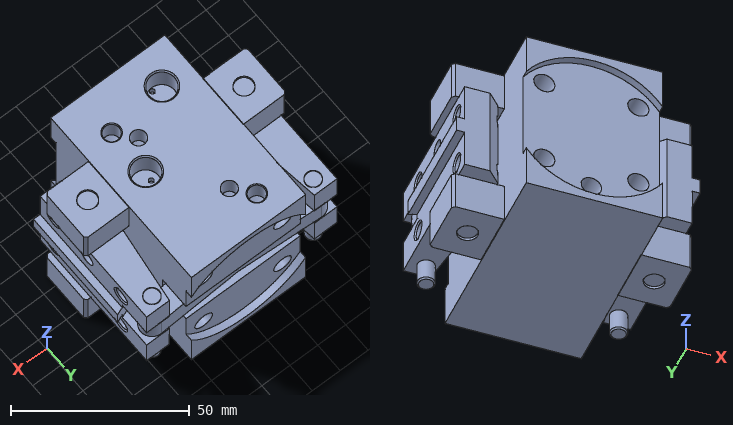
import cadquery as cq
import math


BODY_WIDTH = 40.9
BODY_DEPTH = 63.0
BODY_HEIGHT = 55.0
FRONT_Y = -BODY_DEPTH / 2
BACK_Y = BODY_DEPTH / 2
TOP_Z = BODY_HEIGHT / 2

RECESS_RADIUS = 25.0
RECESS_DEPTH = 2.4

MOUNT_HOLE_DIAMETER = 6.3
MOUNT_HOLE_OFFSET = 14.1
FRONT_PORT_DIAMETER = 6.05
FRONT_PORT_Z = -20.1
FRONT_PORT_DEPTH = 8.75

DRILL_POINT_ANGLE = 118.0
TAPPED_POINTS = [(-10.0, 22.7), (10.0, -17.2)]
TAPPED_DIAMETER = 5.4
TAPPED_CHAMFER = 0.3
TAPPED_DEPTH = 7.3
DOWEL_POINTS = [(-5.0, 16.7), (5.1, -11.3)]
DOWEL_DIAMETER = 5.05
DOWEL_DEPTH = 7.3
AIR_PORT_POINTS = [(10.0, -2.0), (-9.9, -19.65)]
AIR_PORT_DIAMETER = 9.05
AIR_PORT_CHAMFER = 0.45
AIR_PORT_DEPTH = 8.75
AIR_DUCT_POINTS = [(8.0, -2.0), (-9.35, -23.2)]
AIR_DUCT_DIAMETER = 1.6
AIR_DUCT_DEPTH = 2.2

JAW_HALF_HEIGHT = 14.6
JAW_OUTER_X = -34.1
JAW_INNER_X = -22.55
JAW_BACK_INNER_X = -25.9
JAW_FRONT_INNER_X = -26.5
JAW_BACK_Y = 28.55
JAW_TAPER_END_Y = 3.65
JAW_BEVEL_START_Y = -15.05
JAW_FRONT_Y = -19.1
RIB_OUTER_X = -36.5
RIB_HEIGHT = 5.05
RIB_BACK_Y = 18.55
JAW_TAPPED_DIAMETER = 5.1
JAW_TAPPED_CHAMFER = 0.45
JAW_TAPPED_YS = [17.0, -13.1]
JAW_HOLE_Z = 9.05
JAW_LOCATING_DIAMETER = 5.1
JAW_LOCATING_Y = 2.0

LUG_OUTER_X = -36.0
LUG_TOP_Z = 27.0
LUG_LENGTH = 18.1
LUG_Y = -5.5
LUG_CHAMFER = 0.9
PIVOT_X = -27.95
PIVOT_DIAMETER = 6.1
PIVOT_RECESS_DEPTH = 0.9

PIN_X = -28.8
PIN_Y = 24.4
PIN_DIAMETER = 5.2
PIN_TOP_Z = 14.15
PIN_BOTTOM_Z = -21.45
PIN_CHAMFER = 0.45
YOKE_THICKNESS = 7.75
YOKE_END_RADIUS = 4.0
YOKE_ARM_ANGLE = 3.0
SLOT_HEIGHT = 8.2
HOUSING_SLOT_FLOOR_Y = 18.7
JAW_SLOT_WALL_ANGLE = 20.0

SIDES = ["left", "right"]


def box(x_min, x_max, y_min, y_max, z_min, z_max):
    size = (x_max - x_min, y_max - y_min, z_max - z_min)
    return cq.Workplane("XY").box(*size, centered=False).translate((x_min, y_min, z_min))


def cylinder_along_y(x, z, diameter, y_min, y_max):
    """Cylinder parallel to Y between two Y positions."""
    disc = cq.Workplane("XZ", origin=(x, y_min, z)).circle(diameter / 2)
    return disc.extrude(y_min - y_max)


def cylinder_along_z(x, y, diameter, z_min, z_max):
    """Cylinder parallel to Z between two Z positions."""
    return cq.Workplane("XY", origin=(x, y, z_min)).circle(diameter / 2).extrude(z_max - z_min)


def hole_tool(diameter, depth, chamfer=0.0, point_angle=180.0):
    """Hole going down from Z = 0; a point angle of 180 degrees leaves a flat bottom."""
    radius = diameter / 2
    point_depth = radius / math.tan(math.radians(point_angle / 2))
    profile = cq.Workplane("XZ").moveTo(0, 0).lineTo(radius + chamfer, 0)
    if chamfer > 0:
        profile = profile.lineTo(radius, -chamfer)
    profile = profile.lineTo(radius, -depth).lineTo(0, -depth - point_depth).close()
    return profile.revolve(360, (0, 0, 0), (0, 1, 0))


def on_side(left_part, side):
    """The left-hand part itself, or its mirror image for the right-hand side."""
    return left_part if side == "left" else left_part.mirror("YZ")


def mounting_holes():
    holes = cq.Workplane("XY")
    for x in (-MOUNT_HOLE_OFFSET, MOUNT_HOLE_OFFSET):
        for z in (-MOUNT_HOLE_OFFSET, MOUNT_HOLE_OFFSET):
            holes = holes.add(cylinder_along_y(x, z, MOUNT_HOLE_DIAMETER, FRONT_Y, BACK_Y))
    return holes.combine()


def front_port():
    port = hole_tool(FRONT_PORT_DIAMETER, FRONT_PORT_DEPTH, point_angle=DRILL_POINT_ANGLE)
    port = port.rotate((0, 0, 0), (1, 0, 0), 90)
    return port.translate((0, FRONT_Y + RECESS_DEPTH, FRONT_PORT_Z))


def cut_top_holes(body):
    tapped = hole_tool(TAPPED_DIAMETER, TAPPED_DEPTH, TAPPED_CHAMFER, DRILL_POINT_ANGLE)
    dowel = hole_tool(DOWEL_DIAMETER, DOWEL_DEPTH, point_angle=DRILL_POINT_ANGLE)
    air_port = hole_tool(AIR_PORT_DIAMETER, AIR_PORT_DEPTH, AIR_PORT_CHAMFER)
    air_duct_bottom = AIR_PORT_DEPTH + AIR_DUCT_DEPTH
    air_duct = hole_tool(AIR_DUCT_DIAMETER, air_duct_bottom, point_angle=DRILL_POINT_ANGLE)
    hole_groups = [
        (tapped, TAPPED_POINTS),
        (dowel, DOWEL_POINTS),
        (air_port, AIR_PORT_POINTS),
        (air_duct, AIR_DUCT_POINTS),
    ]
    for tool, points in hole_groups:
        for x, y in points:
            body = body.cut(tool.translate((x, y, TOP_Z)))
    return body


def upper_left_lug():
    lug = box(
        LUG_OUTER_X, -BODY_WIDTH / 2,
        LUG_Y - LUG_LENGTH / 2, LUG_Y + LUG_LENGTH / 2,
        JAW_HALF_HEIGHT, LUG_TOP_Z,
    )
    lug = lug.edges("|Z and <X").chamfer(LUG_CHAMFER)
    recess = hole_tool(PIVOT_DIAMETER, PIVOT_RECESS_DEPTH)
    return lug.cut(recess.translate((PIVOT_X, LUG_Y, LUG_TOP_Z)))


def make_housing():
    half_width = BODY_WIDTH / 2
    body = box(-half_width, half_width, FRONT_Y, BACK_Y, -TOP_Z, TOP_Z)
    body = body.cut(cylinder_along_y(0, 0, 2 * RECESS_RADIUS, FRONT_Y, FRONT_Y + RECESS_DEPTH))
    body = body.cut(cylinder_along_y(0, 0, 2 * RECESS_RADIUS, BACK_Y - RECESS_DEPTH, BACK_Y))
    body = body.cut(box(
        -half_width, half_width,
        HOUSING_SLOT_FLOOR_Y, BACK_Y,
        -SLOT_HEIGHT / 2, SLOT_HEIGHT / 2,
    ))
    body = cut_top_holes(body)
    body = body.cut(mounting_holes()).cut(front_port())
    for side in SIDES:
        upper_lug = on_side(upper_left_lug(), side)
        body = body.union(upper_lug).union(upper_lug.mirror("XY"))
    return body


def jaw_slot():
    """Slot for the yoke arm, open at the back, whose end wall slants forward going inward."""
    wall_run = JAW_INNER_X - RIB_OUTER_X
    wall_inner_y = RIB_BACK_Y - wall_run * math.tan(math.radians(JAW_SLOT_WALL_ANGLE))
    outline = [
        (RIB_OUTER_X, RIB_BACK_Y),
        (JAW_INNER_X, wall_inner_y),
        (JAW_INNER_X, JAW_BACK_Y),
        (RIB_OUTER_X, JAW_BACK_Y),
    ]
    return cq.Workplane("XY").polyline(outline).close().extrude(SLOT_HEIGHT / 2, both=True)


def jaw_side_hole(diameter, chamfer, y, z):
    """Hole along X through the jaw from its outer face."""
    tool = hole_tool(diameter, JAW_INNER_X - JAW_OUTER_X, chamfer)
    return tool.rotate((0, 0, 0), (0, 1, 0), -90).translate((JAW_OUTER_X, y, z))


def make_jaw(side):
    outline = [
        (JAW_OUTER_X, JAW_BACK_Y),
        (JAW_BACK_INNER_X, JAW_BACK_Y),
        (JAW_INNER_X, JAW_TAPER_END_Y),
        (JAW_INNER_X, JAW_BEVEL_START_Y),
        (JAW_FRONT_INNER_X, JAW_FRONT_Y),
        (JAW_OUTER_X, JAW_FRONT_Y),
    ]
    jaw = cq.Workplane("XY").polyline(outline).close().extrude(JAW_HALF_HEIGHT, both=True)
    rib = box(
        RIB_OUTER_X, JAW_OUTER_X, JAW_FRONT_Y, RIB_BACK_Y, -RIB_HEIGHT / 2, RIB_HEIGHT / 2
    )
    jaw = jaw.union(rib).cut(jaw_slot())
    for y in JAW_TAPPED_YS:
        for z in (-JAW_HOLE_Z, JAW_HOLE_Z):
            jaw = jaw.cut(jaw_side_hole(JAW_TAPPED_DIAMETER, JAW_TAPPED_CHAMFER, y, z))
    jaw = jaw.cut(jaw_side_hole(JAW_LOCATING_DIAMETER, 0.0, JAW_LOCATING_Y, JAW_HOLE_Z))
    jaw = jaw.cut(cylinder_along_z(PIN_X, PIN_Y, PIN_DIAMETER, -JAW_HALF_HEIGHT, JAW_HALF_HEIGHT))
    return on_side(jaw, side)


def make_yoke():
    """Two round-ended arms that run from the pins and meet on X = 0, bored for the pins."""
    arm_length = -PIN_X / math.cos(math.radians(YOKE_ARM_ANGLE))
    left_arm = (
        cq.Workplane("XY")
        .center(arm_length / 2, 0)
        .slot2D(arm_length + 2 * YOKE_END_RADIUS, 2 * YOKE_END_RADIUS)
        .extrude(YOKE_THICKNESS / 2, both=True)
        .rotate((0, 0, 0), (0, 0, 1), -YOKE_ARM_ANGLE)
        .translate((PIN_X, PIN_Y, 0))
    )
    yoke = left_arm.union(on_side(left_arm, "right"))
    half_thickness = YOKE_THICKNESS / 2
    for x in (PIN_X, -PIN_X):
        yoke = yoke.cut(cylinder_along_z(x, PIN_Y, PIN_DIAMETER, -half_thickness, half_thickness))
    return yoke


def make_pin(side):
    pin = cylinder_along_z(PIN_X, PIN_Y, PIN_DIAMETER, PIN_BOTTOM_Z, PIN_TOP_Z)
    pin = pin.faces("<Z").chamfer(PIN_CHAMFER)
    return on_side(pin, side)


housing = make_housing()
jaws = [make_jaw(side) for side in SIDES]
yoke = make_yoke()
pins = [make_pin(side) for side in SIDES]

result = cq.Compound.makeCompound([
    housing.solids().val(),
    *[jaw.solids().val() for jaw in jaws],
    yoke.solids().val(),
    *[pin.solids().val() for pin in pins],
])